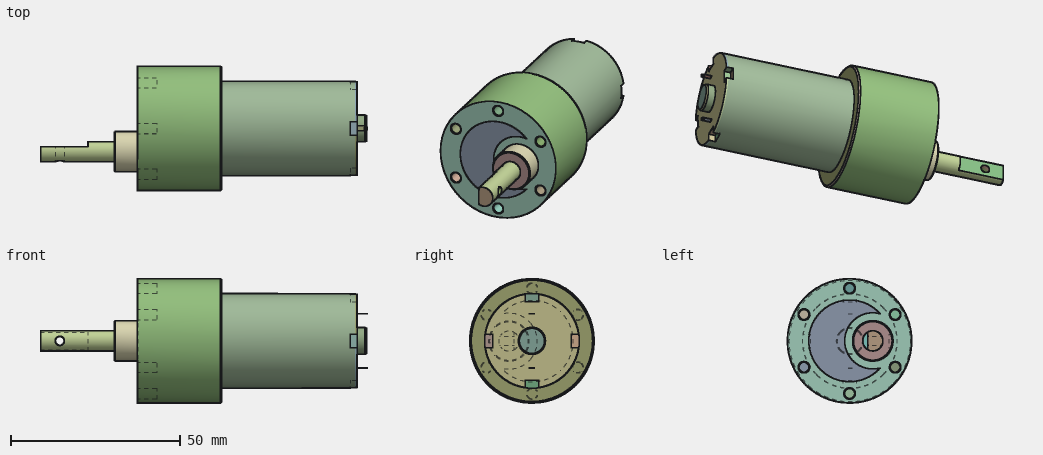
import cadquery as cq

overall_length = 96.5
boss_start = 21.8
gearbox_start = 28.6
gearbox_end = 53.6
motor_end = 93.4
rear_boss_end = 96.2

gearbox_diameter = 36.8
gearbox_rear_chamfer = 0.5
screw_hole_count = 6
screw_hole_diameter = 3.0
screw_hole_countersink = 0.2
screw_hole_circle_radius = 15.5
screw_hole_depth = 5.8
recess_radius = 12.1
recess_island_radius = 8.3
recess_depth = 0.1

shaft_y = -6.85
shaft_diameter = 6.0
boss_diameter = 12.0
boss_chamfer = 0.3
flat_length = 14.0
flat_offset = 1.4
cross_hole_x = 5.7
cross_hole_diameter = 2.6

motor_diameter = 28.0
motor_rear_chamfer_axial = 0.6
motor_rear_chamfer_radial = 0.1
notch_width = 4.0
notch_length = 2.0
notch_depth = 2.4
rear_boss_diameter = 8.0
rear_boss_chamfer_axial = 0.6
rear_boss_chamfer_radial = 0.3

terminal_z = 8.0
terminal_width = 1.4
terminal_thickness = 0.1
terminal_hole_diameter = 0.5


def section_plane(x, y=0.0):
    """YZ plane at the given X, with its normal along +X."""
    return cq.Workplane("YZ", origin=(x, y, 0))


def cylinder(x_start, x_end, diameter, y=0.0):
    return section_plane(x_start, y).circle(diameter / 2).extrude(x_end - x_start)


def make_gearbox():
    body = cylinder(gearbox_start, gearbox_end, gearbox_diameter)
    body = body.faces(">X").chamfer(gearbox_rear_chamfer)

    recess_end = gearbox_start + recess_depth
    crescent = cylinder(gearbox_start, recess_end, 2 * recess_radius).cut(
        cylinder(gearbox_start, recess_end, 2 * recess_island_radius, shaft_y)
    )
    body = body.cut(crescent)

    hole = cylinder(gearbox_start, gearbox_start + screw_hole_depth, screw_hole_diameter)
    mouth = cq.Solid.makeCone(
        screw_hole_diameter / 2 + screw_hole_countersink,
        screw_hole_diameter / 2,
        screw_hole_countersink,
        pnt=cq.Vector(gearbox_start, 0, 0),
        dir=cq.Vector(1, 0, 0),
    )
    hole = hole.union(cq.Workplane(mouth)).translate((0, 0, screw_hole_circle_radius))
    for index in range(screw_hole_count):
        angle = index * 360 / screw_hole_count
        body = body.cut(hole.rotate((0, 0, 0), (1, 0, 0), angle))
    return body


def make_output_shaft():
    boss = cylinder(boss_start, gearbox_start, boss_diameter, shaft_y)
    boss = boss.faces("<X").chamfer(boss_chamfer)
    shaft = cylinder(0, boss_start, shaft_diameter, shaft_y)

    flat = cq.Workplane("XY").box(
        flat_length, shaft_diameter, shaft_diameter, centered=(False, False, True)
    )
    shaft = shaft.cut(flat.translate((0, shaft_y + flat_offset, 0)))

    cross_hole = (
        cq.Workplane("XZ", origin=(cross_hole_x, shaft_y, 0))
        .circle(cross_hole_diameter / 2)
        .extrude(shaft_diameter, both=True)
    )
    return boss.union(shaft.cut(cross_hole))


def make_motor():
    can = cylinder(gearbox_end, motor_end, motor_diameter)
    can = can.faces(">X").chamfer(motor_rear_chamfer_axial, motor_rear_chamfer_radial)

    notch = cq.Workplane("XY").box(
        notch_length, notch_width, 2 * notch_depth, centered=(False, True, True)
    )
    notch = notch.translate((motor_end - notch_length, 0, motor_diameter / 2))
    for angle in (0, 90, 180, 270):
        can = can.cut(notch.rotate((0, 0, 0), (1, 0, 0), angle))

    rear_boss = cylinder(motor_end, rear_boss_end, rear_boss_diameter)
    rear_boss = rear_boss.faces(">X").chamfer(rear_boss_chamfer_axial, rear_boss_chamfer_radial)
    return can.union(rear_boss)


def make_terminal(z):
    """Flat solder tab with a rounded, pierced tip."""
    tip_radius = terminal_width / 2
    tip_center_x = overall_length - tip_radius
    return (
        cq.Workplane("XY", origin=(0, 0, z - terminal_thickness / 2))
        .moveTo(motor_end, -tip_radius)
        .lineTo(tip_center_x, -tip_radius)
        .threePointArc((overall_length, 0), (tip_center_x, tip_radius))
        .lineTo(motor_end, tip_radius)
        .close()
        .moveTo(tip_center_x, 0)
        .circle(terminal_hole_diameter / 2)
        .extrude(terminal_thickness)
    )


result = make_gearbox().union(make_output_shaft()).union(make_motor())
for side in (-1, 1):
    result = result.union(make_terminal(side * terminal_z))